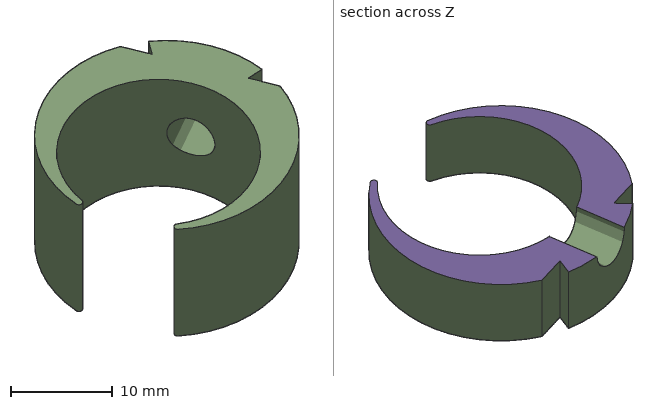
import cadquery as cq
import math

outer_radius = 13.0
bore_radius = 10.0
bore_offset = 2.5
height = 15.0
tip_reach = 11.9
shoulder_y = 10.0
dovetail_half_base = 5.0
dovetail_flare = math.radians(30)
hole_diameter = 5.0

tip_radius = (
    outer_radius**2 - bore_radius**2 + bore_offset**2 - 2 * bore_offset * tip_reach
) / (2 * (outer_radius + bore_radius - bore_offset))
tip_y = tip_radius - tip_reach
tip_x = math.sqrt((outer_radius - tip_radius)**2 - tip_y**2)

outer_scale = outer_radius / (outer_radius - tip_radius)
tip_outer = (tip_x * outer_scale, tip_y * outer_scale)
bore_scale = bore_radius / (bore_radius + tip_radius)
tip_inner = (tip_x * bore_scale, (tip_y + bore_offset) * bore_scale - bore_offset)

outer_angle = math.atan2(tip_y, tip_x)
inner_angle = math.atan2(-tip_y - bore_offset, -tip_x) - 2 * math.pi
end_angle = (outer_angle + inner_angle) / 2
tip_end = (
    tip_x + tip_radius * math.cos(end_angle),
    tip_y + tip_radius * math.sin(end_angle),
)

shoulder_x = math.sqrt(outer_radius**2 - shoulder_y**2)
flare_sin = math.sin(dovetail_flare)
flare_cos = math.cos(dovetail_flare)
along_side = dovetail_half_base * flare_sin + shoulder_y * flare_cos
side_length = -along_side + math.sqrt(
    along_side**2 + outer_radius**2 - dovetail_half_base**2 - shoulder_y**2
)
dovetail_top_x = dovetail_half_base + side_length * flare_sin
dovetail_top_y = shoulder_y + side_length * flare_cos


def mirrored(point):
    return (-point[0], point[1])


def make_clip():
    """C-shaped clip with a dovetail key opposite the opening."""
    return (
        cq.Workplane("XY")
        .moveTo(-dovetail_top_x, dovetail_top_y)
        .threePointArc((0, outer_radius), (dovetail_top_x, dovetail_top_y))
        .lineTo(dovetail_half_base, shoulder_y)
        .lineTo(shoulder_x, shoulder_y)
        .threePointArc((outer_radius, 0), tip_outer)
        .threePointArc(tip_end, tip_inner)
        .threePointArc((0, bore_radius - bore_offset), mirrored(tip_inner))
        .threePointArc(mirrored(tip_end), mirrored(tip_outer))
        .threePointArc((-outer_radius, 0), (-shoulder_x, shoulder_y))
        .lineTo(-dovetail_half_base, shoulder_y)
        .close()
        .extrude(height)
    )


def make_hole():
    """Radial hole through the dovetail wall at mid height."""
    return (
        cq.Workplane("XZ")
        .center(0, height / 2)
        .circle(hole_diameter / 2)
        .extrude(-outer_radius)
    )


result = make_clip().cut(make_hole())